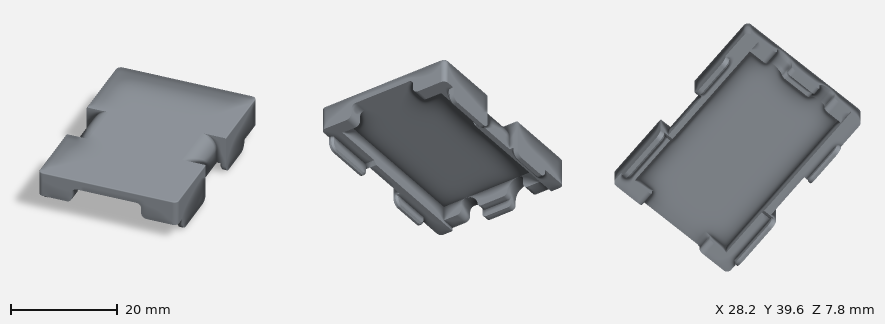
import cadquery as cq
import math

width = 28.2
length = 39.55
height = 7.8
half_width = width / 2
half_length = length / 2

roof_thickness = 1.98
wall = 2.93
corner_radius = 1.0
top_edge_radius = 0.2
front_depth = 5.1
rear_depth = 5.8

feature_shift = -0.2

recess_front = -5.6
recess_rear = 4.3
recess_offset = 1.62
shoulder_radius = 2.93

ramp_end = recess_front
ramp_length = rear_depth - front_depth

tab_thickness = 1.05
tab_corner = 1.5
tab_inner_chamfer = 0.35
front_tab = (-17.1, recess_front)
rear_tab = (recess_rear, 13.45)

opening_half_width = 7.0
opening_top = roof_thickness
opening_round = 0.95
foot_round = 1.1

tongue_half_width = 3.32
tongue_depth = 6.7
tongue_corner = 0.87
tongue_flare = opening_half_width - opening_round - tongue_half_width
tongue_lip = 1.4


def box(x_range, y_range, z_range):
    """Axis-aligned block spanning the three (low, high) ranges."""
    sizes = [high - low for low, high in (x_range, y_range, z_range)]
    corner = (x_range[0], y_range[0], z_range[0])
    return cq.Workplane("XY").box(*sizes, centered=False).translate(corner)


def on_both_sides(left):
    """The left-hand solid and its mirror image about the shifted centre plane."""
    return left.union(left.mirror("YZ", (feature_shift, 0, 0)))


def make_shell():
    """Box with rounded vertical corners, a softened top rim and a stepped lower rim."""
    shell = cq.Workplane("XY").rect(width, length).extrude(-rear_depth)
    shell = shell.edges("|Z").fillet(corner_radius)
    shell = shell.faces(">Z").edges().fillet(top_edge_radius)

    inner_x = half_width - wall
    inner_y = half_length - wall
    cavity = box((-inner_x, inner_x), (-inner_y, inner_y), (-rear_depth, -roof_thickness))
    rear_rim_trim = box((-inner_x, inner_x), (0, half_length), (-rear_depth, -front_depth))
    front_rim_trim = (
        cq.Workplane("YZ", origin=(-half_width, 0, 0))
        .moveTo(-half_length, -front_depth)
        .lineTo(ramp_end - ramp_length, -front_depth)
        .lineTo(ramp_end, -rear_depth)
        .lineTo(-half_length, -rear_depth)
        .close()
        .extrude(width)
    )
    return shell.cut(cavity).cut(rear_rim_trim).cut(front_rim_trim)


def make_recess():
    """Cutter for the left recess; its inner face curves out from the top."""
    outer_x = -half_width - recess_offset
    inner_x = feature_shift - half_width + recess_offset
    shoulder_x = inner_x + shoulder_radius
    arc_drop = shoulder_radius * (1 - math.sqrt(0.5))
    return (
        cq.Workplane("XZ", origin=(0, recess_rear, 0))
        .moveTo(outer_x, 0)
        .lineTo(shoulder_x, 0)
        .threePointArc((inner_x + arc_drop, -arc_drop), (inner_x, -shoulder_radius))
        .lineTo(inner_x, -height)
        .lineTo(outer_x, -height)
        .close()
        .extrude(recess_rear - recess_front)
    )


def make_tab(y_range, inner_x):
    """Tab hanging below a side wall, chamfered around its rim on the inner side."""
    outer_x = math.copysign(half_width, inner_x)
    x_range = (min(inner_x, outer_x), max(inner_x, outer_x))
    inner_face = ">X" if inner_x < 0 else "<X"
    tab = box(x_range, y_range, (-height, -front_depth))
    tab = tab.edges("|X and <Z").fillet(tab_corner)
    rim = tab.faces(inner_face).edges("not >Z")
    return rim.chamfer(tab_inner_chamfer)


def make_end_opening():
    """Cutter for both end openings: rounded at the top, flared at the feet."""
    foot_x = opening_half_width + foot_round
    foot_z = foot_round - front_depth
    return (
        cq.Workplane("XZ", origin=(feature_shift, half_length, 0))
        .moveTo(-foot_x, -front_depth)
        .radiusArc((-opening_half_width, foot_z), -foot_round)
        .lineTo(-opening_half_width, -opening_top - opening_round)
        .radiusArc((-opening_half_width + opening_round, -opening_top), opening_round)
        .lineTo(opening_half_width - opening_round, -opening_top)
        .radiusArc((opening_half_width, -opening_top - opening_round), opening_round)
        .lineTo(opening_half_width, foot_z)
        .radiusArc((foot_x, -front_depth), -foot_round)
        .close()
        .extrude(length)
    )


def make_tongue_plate(depth, y_range):
    """Plate flaring out into the roof, with rounded lower corners."""
    flare_x = tongue_half_width + tongue_flare
    flare_z = -opening_top - tongue_flare
    plate = (
        cq.Workplane("XZ", origin=(feature_shift, y_range[1], 0))
        .moveTo(-flare_x, -opening_top)
        .radiusArc((-tongue_half_width, flare_z), tongue_flare)
        .lineTo(-tongue_half_width, -depth)
        .lineTo(tongue_half_width, -depth)
        .lineTo(tongue_half_width, flare_z)
        .radiusArc((flare_x, -opening_top), tongue_flare)
        .close()
        .extrude(y_range[1] - y_range[0])
    )
    return plate.edges("|Y and <Z").fillet(tongue_corner)


def make_tongue():
    """Rear tongue: a short plate with a deeper lip flush with the rear face."""
    lip_front = half_length - tongue_lip
    plate = make_tongue_plate(front_depth, (half_length - wall, lip_front))
    lip = make_tongue_plate(tongue_depth, (lip_front, half_length))
    return plate.union(lip)


body = make_shell().cut(make_end_opening()).union(make_tongue())
body = body.cut(on_both_sides(make_recess()))
for tab_range in (front_tab, rear_tab):
    for side in (-1, 1):
        tab_inner_x = feature_shift + side * (half_width - tab_thickness)
        body = body.union(make_tab(tab_range, tab_inner_x))

result = body